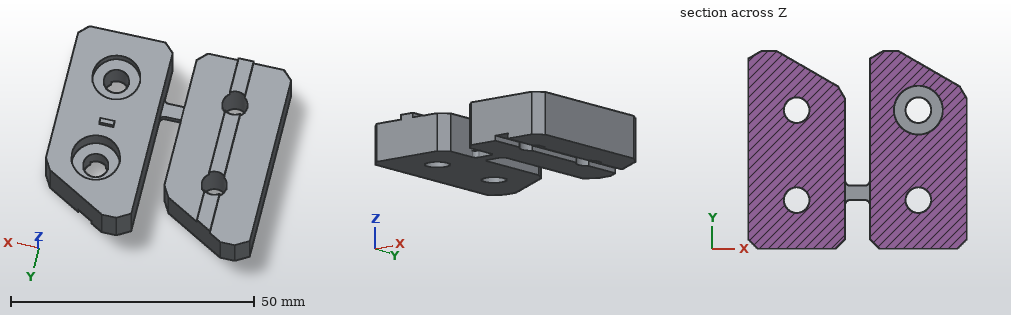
import cadquery as cq
import math

total_width = 45.0
plate_width = 20.0
plate_length = 40.7
gap = total_width - 2 * plate_width
right_plate_x = plate_width + gap

left_plate_height = 8.0
right_plate_height = 9.0
rib_height = 1.0
web_height = 1.4

bottom_chamfer = 2.0
top_edge_start = 2.8
top_edge_end = 5.85
slope = math.tan(math.radians(30))
slope_corner_leg = 1.7

hole_x = plate_width / 2
lower_hole_y = 10.0
hole_spacing = 18.5
upper_hole_y = lower_hole_y + hole_spacing
hole_diameter = 5.2
lower_bore_diameter = 9.9
lower_bore_depth = 2.0
upper_bore_diameter = 10.0
upper_bore_depth = 4.0

rib_width = 3.2
groove_width = 3.25
groove_depth = 1.1

marker_x = 8.0
marker_y = 20.02
marker_width = 3.0
marker_length = 1.0
marker_height = 1.0

web_y = 10.0
web_width = 3.0
web_fillet = 1.0


def plate(height):
    """Plate with chamfered corners and a 30 degree sloped end."""
    slope_end_x = plate_width - slope_corner_leg * math.cos(math.radians(30))
    slope_end_y = plate_length - (slope_end_x - top_edge_end) * slope
    slope_corner_y = plate_length - (plate_width - top_edge_end) * slope
    outline = [
        (bottom_chamfer, 0),
        (plate_width - bottom_chamfer, 0),
        (plate_width, bottom_chamfer),
        (plate_width, slope_corner_y - slope_corner_leg),
        (slope_end_x, slope_end_y),
        (top_edge_end, plate_length),
        (top_edge_start, plate_length),
        (0, plate_length - top_edge_start * slope),
        (0, bottom_chamfer),
    ]
    return cq.Workplane("XY").polyline(outline).close().extrude(height)


def block(x, y, z, width, length, height):
    """Axis-aligned box placed by its lowest corner."""
    return cq.Workplane("XY").box(width, length, height, centered=False).translate((x, y, z))


def cylinder(y, z, diameter, height):
    """Vertical cylinder on the hole line of a plate, starting at height z."""
    return cq.Workplane("XY", origin=(hole_x, y, z)).circle(diameter / 2).extrude(height)


def center_strip(z, width, height):
    """Full-length strip centred on the hole line."""
    return block(hole_x - width / 2, 0, z, width, plate_length, height)


def drill_holes(body):
    for y in (lower_hole_y, upper_hole_y):
        body = body.cut(cylinder(y, 0, hole_diameter, right_plate_height))
    return body


def make_left_plate():
    full_height = left_plate_height + rib_height
    rib = plate(full_height).intersect(center_strip(0, rib_width, full_height))
    return drill_holes(plate(left_plate_height).union(rib))


def make_right_plate():
    body = plate(right_plate_height).cut(center_strip(0, groove_width, groove_depth))
    body = drill_holes(body)
    counterbores = [
        (lower_hole_y, lower_bore_diameter, lower_bore_depth),
        (upper_hole_y, upper_bore_diameter, upper_bore_depth),
    ]
    for y, diameter, depth in counterbores:
        body = body.cut(cylinder(y, right_plate_height - depth, diameter, depth))
    marker = block(marker_x, marker_y, right_plate_height, marker_width, marker_length, marker_height)
    return body.union(marker)


def make_web():
    """Thin bridge that flares into both plates with concave fillets."""
    start = plate_width
    end = right_plate_x
    low = web_y
    high = web_y + web_width
    r = web_fillet
    diagonal = r * (1 - math.sqrt(0.5))
    return (
        cq.Workplane("XY")
        .moveTo(start, low - r)
        .threePointArc((start + diagonal, low - diagonal), (start + r, low))
        .lineTo(end - r, low)
        .threePointArc((end - diagonal, low - diagonal), (end, low - r))
        .lineTo(end, high + r)
        .threePointArc((end - diagonal, high + diagonal), (end - r, high))
        .lineTo(start + r, high)
        .threePointArc((start + diagonal, high + diagonal), (start, high + r))
        .close()
        .extrude(web_height)
    )


right_plate = make_right_plate().translate((right_plate_x, 0, 0))
result = make_left_plate().union(right_plate).union(make_web())